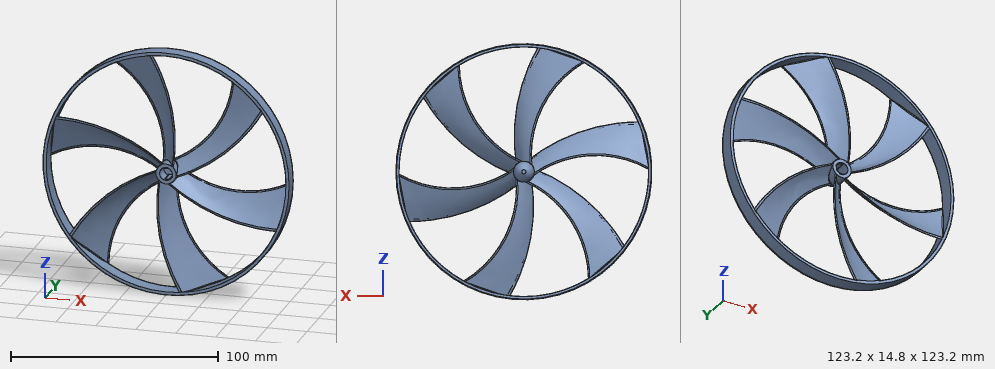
import cadquery as cq

RING_RADIUS = 61.6
RING_WALL = 1.6
RING_WIDTH = 8.4
RING_CHAMFER_RADIAL = 0.4
RING_CHAMFER_AXIAL = 1.0
TOTAL_DEPTH = 14.8

HUB_RADIUS = 5.0
BORE_RADIUS = 3.2
BORE_DEPTH = 7.4
LUG_WIDTH = 2.2
LUG_OFFSET = 0.4
LUG_INNER_RADIUS = 2.6
LUG_START = 0.6
NOSE_TIP_RADIUS = 1.0
NOSE_MID_RADIUS = 3.7
NOSE_MID_HEIGHT_RATIO = 0.6

BLADE_COUNT = 6
EDGE_THICKNESS = [0.7, 1.0, 1.4]
FRONT_EDGE = [(-3.3, -1.2), (-2.0, -38.2), (7.1, -60.4)]
REAR_EDGE = [(3.3, -1.2), (6.8, -28.2), (28.3, -53.0)]
CAMBER_SHARE = 0.4

ring_inner_radius = RING_RADIUS - RING_WALL
nose_height = TOTAL_DEPTH - RING_WIDTH


def disc(radius, length):
    """Cylinder on the Y axis, from Y = 0 to Y = length."""
    return cq.Workplane("XZ").circle(radius).extrude(-length)


def make_ring():
    chamfer_start = RING_WIDTH - RING_CHAMFER_AXIAL
    return (
        cq.Workplane("XY")
        .moveTo(ring_inner_radius, 0)
        .lineTo(RING_RADIUS, 0)
        .lineTo(RING_RADIUS, chamfer_start)
        .lineTo(RING_RADIUS - RING_CHAMFER_RADIAL, RING_WIDTH)
        .lineTo(ring_inner_radius, RING_WIDTH)
        .close()
        .revolve(360, (0, 0), (0, 1))
    )


def make_hub():
    """Solid hub with a domed nose behind the ring."""
    nose_mid = (NOSE_MID_RADIUS, RING_WIDTH + NOSE_MID_HEIGHT_RATIO * nose_height)
    return (
        cq.Workplane("XY")
        .lineTo(HUB_RADIUS, 0)
        .lineTo(HUB_RADIUS, RING_WIDTH)
        .threePointArc(nose_mid, (NOSE_TIP_RADIUS, TOTAL_DEPTH))
        .lineTo(0, TOTAL_DEPTH)
        .close()
        .revolve(360, (0, 0), (0, 1))
    )


def make_lug():
    """Small key on the lower bore wall, running back to the bore floor."""
    lug_length = BORE_DEPTH - LUG_START
    lug_height = HUB_RADIUS - LUG_INNER_RADIUS
    box = cq.Workplane("XY").box(LUG_WIDTH, lug_length, lug_height, centered=(True, False, False))
    return box.translate((LUG_OFFSET, LUG_START, -HUB_RADIUS)).intersect(
        disc((HUB_RADIUS + BORE_RADIUS) / 2, BORE_DEPTH)
    )


def blade_section(edge, y):
    """Closed curved strip in the plane at height y."""
    root, middle, tip = [cq.Vector(x, y, z) for x, z in edge]
    far_root, far_middle, far_tip = [
        cq.Vector(x + thickness, y, z) for (x, z), thickness in zip(edge, EDGE_THICKNESS)
    ]
    return cq.Wire.assembleEdges([
        cq.Edge.makeThreePointArc(root, middle, tip),
        cq.Edge.makeLine(tip, far_tip),
        cq.Edge.makeThreePointArc(far_tip, far_middle, far_root),
        cq.Edge.makeLine(far_root, root),
    ])


def make_blade():
    middle_edge = [
        (fx + CAMBER_SHARE * (rx - fx), fz + CAMBER_SHARE * (rz - fz))
        for (fx, fz), (rx, rz) in zip(FRONT_EDGE, REAR_EDGE)
    ]
    sections = [
        blade_section(FRONT_EDGE, 0),
        blade_section(middle_edge, RING_WIDTH / 2),
        blade_section(REAR_EDGE, RING_WIDTH),
    ]
    blade = cq.Workplane(cq.Solid.makeLoft(sections))
    return blade.intersect(disc(RING_RADIUS - RING_WALL / 2, RING_WIDTH))


result = make_ring().union(make_hub())
blade = make_blade()
for index in range(BLADE_COUNT):
    angle = index * 360 / BLADE_COUNT
    result = result.union(blade.rotate((0, 0, 0), (0, 1, 0), angle))
result = result.cut(disc(BORE_RADIUS, BORE_DEPTH))

lug = make_lug()
for angle in (0, 180):
    result = result.union(lug.rotate((0, 0, 0), (0, 1, 0), angle))